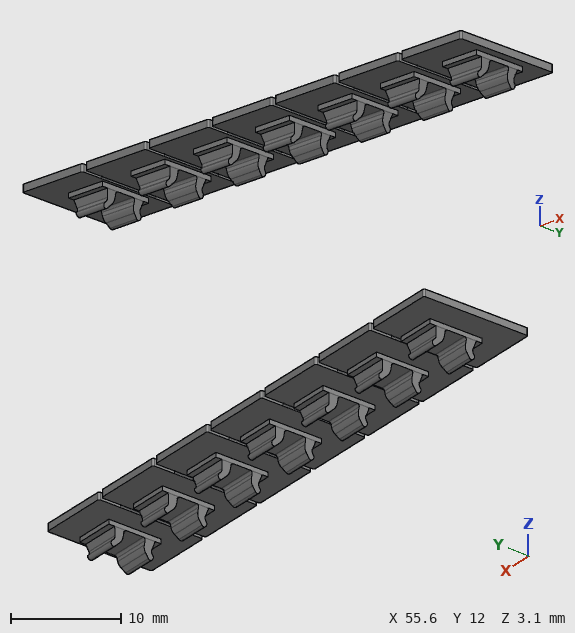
import cadquery as cq
import math

PLATE_COUNT = 7
PLATE_PITCH = 8.0
PLATE_GAP = 0.4
PLATE_LENGTH = PLATE_PITCH - PLATE_GAP
PLATE_WIDTH = 12.0
PLATE_THICKNESS = 0.8
PLATE_CORNER_RADIUS = 0.2

WEB_WIDTH = 7.0
WEB_CENTRE_Z = -0.35
WEB_THICKNESS = 0.3
WEB_FILLET = 0.15

FOOT_PITCH = 7.9
FOOT_ROW_CENTRE_X = 1.0
PAD_LENGTH = 4.3
PAD_WIDTH = 6.0
PAD_BOTTOM_Z = -1.3
FOOT_BOTTOM_Z = -3.1
FOOT_TAPER = 15.0

LEG_INNER_Y = 1.22
LEG_ROOT_RADIUS = 0.25
INNER_BEND_RADIUS = 0.9
NOTCH_RADIUS = 0.4
NOTCH_CENTRE_Z = -2.2
TIP_RADIUS = 0.3
TIP_CENTRE_Y = 2.12
TIP_CENTRE_Z = FOOT_BOTTOM_Z + TIP_RADIUS

TAPER_ANGLE = math.radians(FOOT_TAPER)
TAPER_SLOPE = math.tan(TAPER_ANGLE)
DIAGONAL = math.sqrt(0.5)


def row_positions(count, pitch, centre):
    """X positions of evenly spaced items about a centre."""
    return [centre + (i - (count - 1) / 2) * pitch for i in range(count)]


def box(length, width, top_z, bottom_z):
    """Box centred on X and Y between two heights."""
    return (
        cq.Workplane("XY", origin=(0, 0, bottom_z))
        .rect(length, width)
        .extrude(top_z - bottom_z)
    )


def make_plate():
    """Flat plate with rounded corners."""
    plate = box(PLATE_LENGTH, PLATE_WIDTH, 0, -PLATE_THICKNESS)
    return plate.edges("|Z").fillet(PLATE_CORNER_RADIUS)


def make_web():
    """Web filling one gap, flared with fillets where it meets the plates."""
    half_gap = PLATE_GAP / 2
    core_half = WEB_THICKNESS / 2
    flare_half = core_half + WEB_FILLET
    mid = WEB_FILLET * (1 - DIAGONAL)
    core_end = half_gap - WEB_FILLET
    return (
        cq.Workplane("XZ", origin=(0, 0, WEB_CENTRE_Z))
        .moveTo(-half_gap, flare_half)
        .threePointArc((mid - half_gap, core_half + mid), (-core_end, core_half))
        .lineTo(core_end, core_half)
        .threePointArc((half_gap - mid, core_half + mid), (half_gap, flare_half))
        .lineTo(half_gap, -flare_half)
        .threePointArc((half_gap - mid, -core_half - mid), (core_end, -core_half))
        .lineTo(-core_end, -core_half)
        .threePointArc((mid - half_gap, -core_half - mid), (-half_gap, -flare_half))
        .close()
        .extrude(WEB_WIDTH / 2, both=True)
    )


def polar(centre, radius, angle):
    """Point on a circle, with the angle in radians."""
    return (centre[0] + radius * math.cos(angle), centre[1] + radius * math.sin(angle))


def make_leg():
    """Hooked clip leg on the +Y side, with its ends still square."""
    tip_centre = (TIP_CENTRE_Y, TIP_CENTRE_Z)
    tip_outer = polar(tip_centre, TIP_RADIUS, math.pi / 4)
    tip_middle = polar(tip_centre, TIP_RADIUS, -math.pi / 4)
    tip_inner = polar(tip_centre, TIP_RADIUS, -3 * math.pi / 4)

    notch_sum = sum(tip_outer) + 2 * NOTCH_RADIUS * DIAGONAL
    notch_centre = (notch_sum - NOTCH_CENTRE_Z, NOTCH_CENTRE_Z)
    notch_start = polar(notch_centre, NOTCH_RADIUS, math.pi - TAPER_ANGLE)
    notch_middle = polar(notch_centre, NOTCH_RADIUS, math.pi)
    notch_end = polar(notch_centre, NOTCH_RADIUS, 5 * math.pi / 4)
    root_outer_y = notch_start[0] + (PAD_BOTTOM_Z - notch_start[1]) * TAPER_SLOPE

    corner_z = tip_inner[1] + tip_inner[0] - LEG_INNER_Y
    bend_z = corner_z + INNER_BEND_RADIUS * math.tan(math.pi / 8)
    bend_centre = (LEG_INNER_Y + INNER_BEND_RADIUS, bend_z)
    bend_start = polar(bend_centre, INNER_BEND_RADIUS, 5 * math.pi / 4)
    bend_middle = polar(bend_centre, INNER_BEND_RADIUS, 9 * math.pi / 8)
    bend_end = polar(bend_centre, INNER_BEND_RADIUS, math.pi)

    root_centre = (LEG_INNER_Y - LEG_ROOT_RADIUS, PAD_BOTTOM_Z - LEG_ROOT_RADIUS)
    root_start = polar(root_centre, LEG_ROOT_RADIUS, 0)
    root_middle = polar(root_centre, LEG_ROOT_RADIUS, math.pi / 4)
    root_end = polar(root_centre, LEG_ROOT_RADIUS, math.pi / 2)

    return (
        cq.Workplane("YZ", origin=(-PAD_LENGTH / 2, 0, 0))
        .moveTo(root_outer_y, PAD_BOTTOM_Z)
        .lineTo(*notch_start)
        .threePointArc(notch_middle, notch_end)
        .lineTo(*tip_outer)
        .threePointArc(tip_middle, tip_inner)
        .lineTo(*bend_start)
        .threePointArc(bend_middle, bend_end)
        .lineTo(*root_start)
        .threePointArc(root_middle, root_end)
        .close()
        .extrude(PAD_LENGTH)
    )


def make_end_envelope():
    """Trapezoid, extruded along Y, that tapers the ends of the legs."""
    taper = (PAD_BOTTOM_Z - FOOT_BOTTOM_Z) * TAPER_SLOPE
    half_top = PAD_LENGTH / 2
    half_bottom = half_top - taper
    return (
        cq.Workplane("XZ")
        .polyline([
            (-half_top, PAD_BOTTOM_Z),
            (half_top, PAD_BOTTOM_Z),
            (half_bottom, FOOT_BOTTOM_Z),
            (-half_bottom, FOOT_BOTTOM_Z),
        ])
        .close()
        .extrude(PAD_WIDTH / 2, both=True)
    )


def make_foot():
    """Rectangular pad with a mirrored pair of clip legs below it."""
    pad = box(PAD_LENGTH, PAD_WIDTH, -PLATE_THICKNESS, PAD_BOTTOM_Z)
    leg = make_leg().intersect(make_end_envelope())
    return pad.union(leg).union(leg.mirror("XZ"))


def make_part():
    """Row of plates joined by webs, with one clip foot under each plate."""
    plate = make_plate()
    web = make_web()
    foot = make_foot()
    part = cq.Workplane("XY")
    for x in row_positions(PLATE_COUNT, PLATE_PITCH, 0):
        part = part.union(plate.translate((x, 0, 0)))
    for x in row_positions(PLATE_COUNT - 1, PLATE_PITCH, 0):
        part = part.union(web.translate((x, 0, 0)))
    for x in row_positions(PLATE_COUNT, FOOT_PITCH, FOOT_ROW_CENTRE_X):
        part = part.union(foot.translate((x, 0, 0)))
    return part


result = make_part()